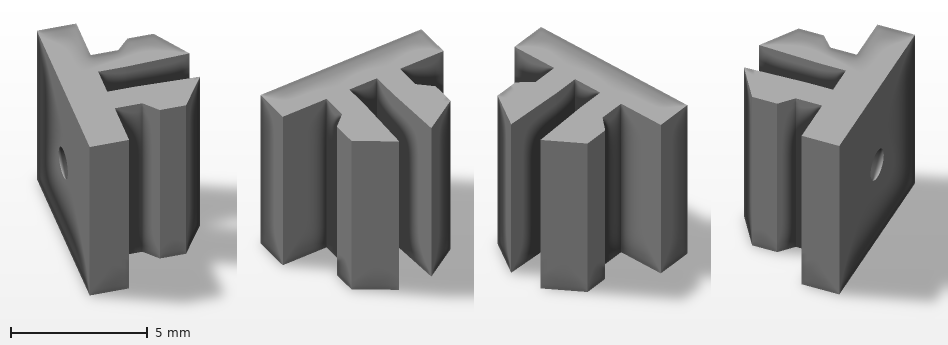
import cadquery as cq

plate_size = 7.0
plate_thickness = 1.5
hole_diameter = 1.22

overall_depth = 5.0
slot_half_width = 0.6
tip_half_gap = 0.7
leg_outer_x = 1.6
barb_outer_x = 2.15
barb_shoulder_start_y = 2.55
barb_shoulder_end_y = 3.05
taper_start_y = barb_shoulder_start_y
barb_lead_in_y = 4.05


def make_plate():
    return cq.Workplane("XY").box(
        plate_size, plate_thickness, plate_size, centered=(True, False, True)
    )


def make_leg(side):
    """Barbed leg along the full height; side is +1 or -1 along X."""
    profile = [
        (slot_half_width, plate_thickness),
        (leg_outer_x, plate_thickness),
        (leg_outer_x, barb_shoulder_start_y),
        (barb_outer_x, barb_shoulder_end_y),
        (barb_outer_x, barb_lead_in_y),
        (tip_half_gap, overall_depth),
        (slot_half_width, taper_start_y),
    ]
    points = [(side * x, y) for x, y in profile]
    return cq.Workplane("XY").polyline(points).close().extrude(plate_size / 2, both=True)


def make_hole():
    """Cutter through the full depth, centred on the slot between the legs."""
    return cq.Workplane("XZ").circle(hole_diameter / 2).extrude(-overall_depth)


result = make_plate()
for side in (-1, 1):
    result = result.union(make_leg(side))
result = result.cut(make_hole())